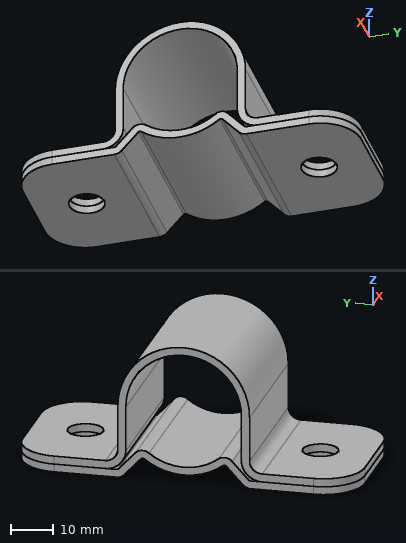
import cadquery as cq
import math

thickness = 2.0
width = 38.0
length = 83.0
corner_radius = 10.0
hole_diameter = 8.5
hole_spacing = 57.0
flange_end_y = length / 2

tube_radius = 14.0
shell_radius = tube_radius + thickness
tube_center_z = 2 * thickness + tube_radius
tube_center = (0, tube_center_z)
overall_height = tube_center_z + shell_radius

strap_bend_radius = 3.0

base_bend_radius = 0.5
crest_y = 9.93
flank_angle = math.radians(47)

UP = math.pi / 2
INWARD = math.pi
DOWN = 3 * math.pi / 2


def polar(center, radius, angle):
    """Point (y, z) at an angle from +Y toward +Z around a center."""
    y, z = center
    return (y + radius * math.cos(angle), z + radius * math.sin(angle))


def arc_to(profile, center, radius, start_angle, end_angle):
    """Extend a profile, already at the start of an arc, to the end of that arc."""
    middle = polar(center, radius, (start_angle + end_angle) / 2)
    end = polar(center, radius, end_angle)
    return profile.threePointArc(middle, end)


def finished_sheet(half_profile):
    """Full sheet from the YZ profile of its +Y half, with rounded corners and bolt holes."""
    half_sheet = half_profile.close().extrude(width / 2, both=True)
    blank = cq.Workplane("XY").rect(width, length).extrude(overall_height)
    blank = blank.edges("|Z").fillet(corner_radius)
    bolt_holes = (
        cq.Workplane("XY")
        .pushPoints([(0, -hole_spacing / 2), (0, hole_spacing / 2)])
        .circle(hole_diameter / 2)
        .extrude(overall_height)
    )
    full_sheet = half_sheet.union(half_sheet.mirror("XZ"))
    return full_sheet.intersect(blank).cut(bolt_holes).solids()


def make_strap():
    """Upper sheet: flat flanges, upright sides and a half-round crown over the tube."""
    outer_bend_radius = strap_bend_radius + thickness
    bend_center = (shell_radius + strap_bend_radius, 2 * thickness + strap_bend_radius)

    profile = cq.Workplane("YZ").moveTo(flange_end_y, 2 * thickness)
    profile = profile.lineTo(bend_center[0], 2 * thickness)
    profile = arc_to(profile, bend_center, strap_bend_radius, DOWN, INWARD)
    profile = profile.lineTo(shell_radius, tube_center_z)
    profile = arc_to(profile, tube_center, shell_radius, 0, UP)
    profile = profile.lineTo(0, tube_center_z + tube_radius)
    profile = arc_to(profile, tube_center, tube_radius, UP, 0)
    profile = profile.lineTo(tube_radius, bend_center[1])
    profile = arc_to(profile, bend_center, outer_bend_radius, INWARD, DOWN)
    profile = profile.lineTo(flange_end_y, thickness)
    return finished_sheet(profile)


def make_base():
    """Lower sheet: flat flanges, sloping flanks with rounded crests and a saddle under the tube."""
    inner = base_bend_radius
    outer = base_bend_radius + thickness

    center_distance = shell_radius + inner
    crest_center = (crest_y, tube_center_z - math.sqrt(center_distance**2 - crest_y**2))
    saddle_edge = 2 * math.pi - math.acos(crest_y / center_distance)
    crest_end = saddle_edge - math.pi

    foot_z = thickness + inner
    rise = crest_center[1] - foot_z
    foot_y = crest_y + (rise * math.cos(flank_angle) + inner + outer) / math.sin(flank_angle)
    foot_center = (foot_y, foot_z)
    flank_normal = UP - flank_angle
    foot_end = flank_normal + math.pi

    profile = cq.Workplane("YZ").moveTo(flange_end_y, thickness).lineTo(foot_y, thickness)
    profile = arc_to(profile, foot_center, inner, DOWN, foot_end)
    profile = profile.lineTo(*polar(crest_center, outer, flank_normal))
    profile = arc_to(profile, crest_center, outer, flank_normal, crest_end)
    profile = arc_to(profile, tube_center, tube_radius, saddle_edge, DOWN)

    profile = profile.lineTo(0, tube_center_z - shell_radius)
    profile = arc_to(profile, tube_center, shell_radius, DOWN, saddle_edge)
    profile = arc_to(profile, crest_center, inner, crest_end, flank_normal)
    profile = profile.lineTo(*polar(foot_center, outer, foot_end))
    profile = arc_to(profile, foot_center, outer, foot_end, DOWN)
    profile = profile.lineTo(flange_end_y, 0)
    return finished_sheet(profile)


strap = make_strap()
base = make_base()

result = cq.Compound.makeCompound([strap.val(), base.val()])